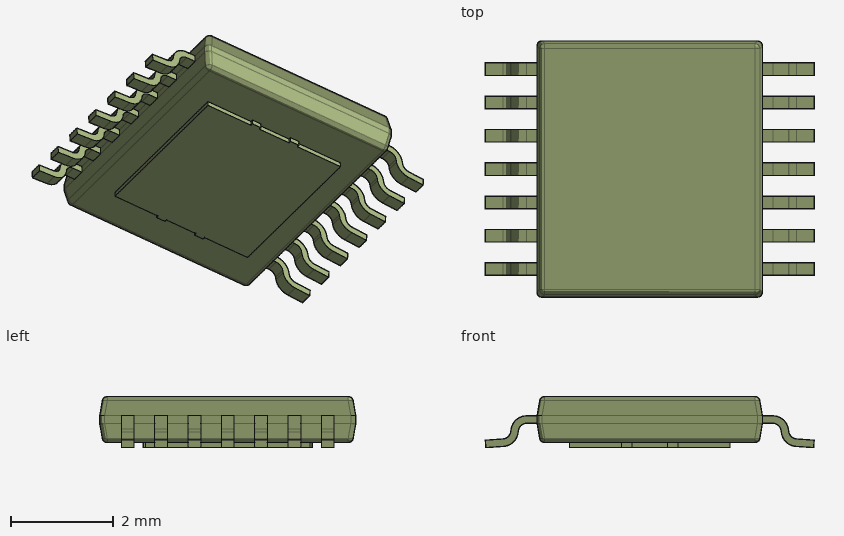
import cadquery as cq
import math

housing_length_x = 4.4
housing_length_y = 5.0
package_height = 1.0
housing_standoff = 0.1
draft_angle = 10.0
edge_radius = 0.1

leads_per_side = 7
lead_pitch = 0.65
lead_width = 0.25
lead_thickness = 0.15
lead_span = 6.42
shoulder_end_x = 2.4
upper_bend_inner_radius = 0.16
lower_bend_inner_radius = 0.16
riser_angle = math.radians(80.0)
foot_tilt = math.radians(4.0)
lead_embedment = 0.2
lead_root_x = housing_length_x / 2 - lead_embedment

pad_length_x = 3.14
pad_length_y = 3.2
stub_width = 0.2
stub_projection = 0.05
stub_offset_x = 0.45

band_middle_z = (housing_standoff + package_height) / 2
band_top_z = band_middle_z + lead_thickness / 2
band_bottom_z = band_middle_z - lead_thickness / 2


def make_housing():
    draft_height = package_height - band_top_z
    band = (
        cq.Workplane("XY", origin=(0, 0, band_bottom_z))
        .rect(housing_length_x, housing_length_y)
        .extrude(lead_thickness)
    )
    upper_half = (
        cq.Workplane("XY", origin=(0, 0, band_top_z))
        .rect(housing_length_x, housing_length_y)
        .extrude(draft_height, taper=draft_angle)
    )
    lower_half = upper_half.mirror("XY", (0, 0, band_middle_z))
    corners_and_rims = "(not #Z) or <Z or >Z"
    return band.union(upper_half).union(lower_half).edges(corners_and_rims).fillet(edge_radius)


def make_lead():
    """One lead on the +X side, centred on Y = 0."""
    upper_outer_radius = upper_bend_inner_radius + lead_thickness
    lower_outer_radius = lower_bend_inner_radius + lead_thickness
    upper_center = (shoulder_end_x, band_top_z - upper_outer_radius)

    toe_top = (lead_span / 2, lead_thickness * math.cos(foot_tilt))
    toe_bottom = (toe_top[0] - lead_thickness * math.sin(foot_tilt), 0)

    center_distance = upper_outer_radius + lower_bend_inner_radius
    joined_x = upper_center[0] + center_distance * math.sin(riser_angle)
    joined_z = upper_center[1] + center_distance * math.cos(riser_angle)
    height_over_foot = (
        (joined_x - toe_top[0]) * math.sin(foot_tilt)
        + (joined_z - toe_top[1]) * math.cos(foot_tilt)
    )
    riser_length = (height_over_foot - lower_bend_inner_radius) / math.sin(riser_angle - foot_tilt)
    lower_center = (
        joined_x + riser_length * math.cos(riser_angle),
        joined_z - riser_length * math.sin(riser_angle),
    )

    def upper_bend(radius, slope):
        return (
            upper_center[0] + radius * math.sin(slope),
            upper_center[1] + radius * math.cos(slope),
        )

    def lower_bend(radius, slope):
        return (
            lower_center[0] - radius * math.sin(slope),
            lower_center[1] - radius * math.cos(slope),
        )

    upper_middle = riser_angle / 2
    lower_middle = (riser_angle + foot_tilt) / 2
    profile = (
        cq.Workplane("XZ", origin=(0, lead_width / 2, 0))
        .moveTo(lead_root_x, band_top_z)
        .lineTo(*upper_bend(upper_outer_radius, 0))
        .threePointArc(upper_bend(upper_outer_radius, upper_middle), upper_bend(upper_outer_radius, riser_angle))
        .lineTo(*lower_bend(lower_bend_inner_radius, riser_angle))
        .threePointArc(
            lower_bend(lower_bend_inner_radius, lower_middle),
            lower_bend(lower_bend_inner_radius, foot_tilt),
        )
        .lineTo(*toe_top)
        .lineTo(*toe_bottom)
        .lineTo(*lower_bend(lower_outer_radius, foot_tilt))
        .threePointArc(lower_bend(lower_outer_radius, lower_middle), lower_bend(lower_outer_radius, riser_angle))
        .lineTo(*upper_bend(upper_bend_inner_radius, riser_angle))
        .threePointArc(
            upper_bend(upper_bend_inner_radius, upper_middle),
            upper_bend(upper_bend_inner_radius, 0),
        )
        .lineTo(lead_root_x, band_bottom_z)
        .close()
    )
    return profile.extrude(lead_width)


def make_package():
    """The housing and both rows of leads as one solid."""
    package = make_housing()
    right_lead = make_lead()
    left_lead = right_lead.mirror("YZ")
    for index in range(leads_per_side):
        lead_y = (index - (leads_per_side - 1) / 2) * lead_pitch
        for lead in (right_lead, left_lead):
            package = package.union(lead.translate((0, lead_y, 0)))
    return package


def make_pad():
    stub_positions = [(-stub_offset_x, 0), (stub_offset_x, 0)]
    plate = cq.Workplane("XY").rect(pad_length_x, pad_length_y).extrude(housing_standoff)
    stubs = (
        cq.Workplane("XY")
        .pushPoints(stub_positions)
        .rect(stub_width, pad_length_y + 2 * stub_projection)
        .extrude(housing_standoff)
    )
    return plate.union(stubs)


package = make_package()
pad = make_pad()
result = cq.Compound.makeCompound([package.val(), pad.val()])